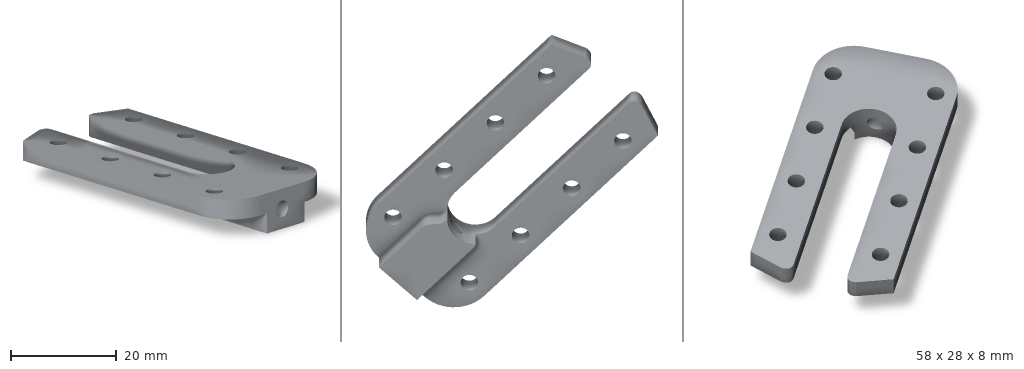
import cadquery as cq
import math

length = 58.0
width = 28.0
plate_thickness = 4.0
corner_radius = 8.0

slot_width = 10.55
slot_end_x = 43.2
slot_radius = slot_width / 2
slot_center_x = slot_end_x - slot_radius

tip_radius = 1.4
tip_flat = 0.6
tip_bevel_length = 2.55

hole_diameter = 3.3
hole_pitch = 14.0
first_hole_x = 8.0
holes_per_row = 4
row_y = 10.05

lug_height = 4.0
lug_y_min = -4.0
lug_y_max = 6.0
lug_neck_y = 3.7
lug_corner_chamfer = 0.3

swell_radius = 3.0
swell_angle = math.radians(45)


def hole_x(index):
    return first_hole_x + index * hole_pitch


def cylinder(x, y, radius, z_start, height):
    """Vertical cylinder rising from z_start."""
    return cq.Workplane("XY", origin=(x, y, z_start)).circle(radius).extrude(height)


def make_plate():
    half_width = width / 2
    round_start_y = slot_radius + tip_radius
    flat_end_y = round_start_y + tip_flat
    mid_offset = tip_radius * (1 - math.sqrt(0.5))
    return (
        cq.Workplane("XY")
        .moveTo(tip_bevel_length, half_width)
        .lineTo(length, half_width)
        .lineTo(length, -half_width)
        .lineTo(tip_bevel_length, -half_width)
        .lineTo(0, -flat_end_y)
        .lineTo(0, -round_start_y)
        .threePointArc((mid_offset, -slot_radius - mid_offset), (tip_radius, -slot_radius))
        .lineTo(slot_center_x, -slot_radius)
        .threePointArc((slot_end_x, 0), (slot_center_x, slot_radius))
        .lineTo(tip_radius, slot_radius)
        .threePointArc((mid_offset, slot_radius + mid_offset), (0, round_start_y))
        .lineTo(0, flat_end_y)
        .close()
        .extrude(plate_thickness)
        .edges("|Z and >X")
        .fillet(corner_radius)
    )


def swell_arc_offset(angle):
    """Run along X and rise along Y of a swell arc turned by angle from the X direction."""
    return swell_radius * math.sin(angle), swell_radius * (1 - math.cos(angle))


def make_lug():
    """Block continuing the slot's end wall below the plate, with a swollen +Y side."""
    neck_x = slot_center_x + math.sqrt(slot_radius**2 - lug_neck_y**2)
    corner_y = lug_y_min + lug_corner_chamfer
    corner_x = slot_center_x + math.sqrt(slot_radius**2 - corner_y**2)

    mid_run, mid_rise = swell_arc_offset(swell_angle / 2)
    arc_run, arc_rise = swell_arc_offset(swell_angle)
    ramp_rise = lug_y_max - lug_neck_y - 2 * arc_rise
    ramp_run = ramp_rise / math.tan(swell_angle)
    swell_end_x = neck_x + 2 * arc_run + ramp_run

    return (
        cq.Workplane("XY", origin=(0, 0, -lug_height))
        .moveTo(corner_x, corner_y)
        .threePointArc((slot_end_x, 0), (neck_x, lug_neck_y))
        .threePointArc(
            (neck_x + mid_run, lug_neck_y + mid_rise),
            (neck_x + arc_run, lug_neck_y + arc_rise),
        )
        .lineTo(swell_end_x - arc_run, lug_y_max - arc_rise)
        .threePointArc((swell_end_x - mid_run, lug_y_max - mid_rise), (swell_end_x, lug_y_max))
        .lineTo(length, lug_y_max)
        .lineTo(length, lug_y_min)
        .lineTo(corner_x + lug_corner_chamfer, lug_y_min)
        .close()
        .extrude(lug_height)
    )


result = make_plate().union(make_lug())

for side in (-1, 1):
    for index in range(holes_per_row):
        hole = cylinder(hole_x(index), side * row_y, hole_diameter / 2, 0, plate_thickness)
        result = result.cut(hole)

cross_hole = (
    cq.Workplane("YZ", origin=(slot_center_x, 0, 0))
    .circle(hole_diameter / 2)
    .extrude(length - slot_center_x)
)
result = result.cut(cross_hole)